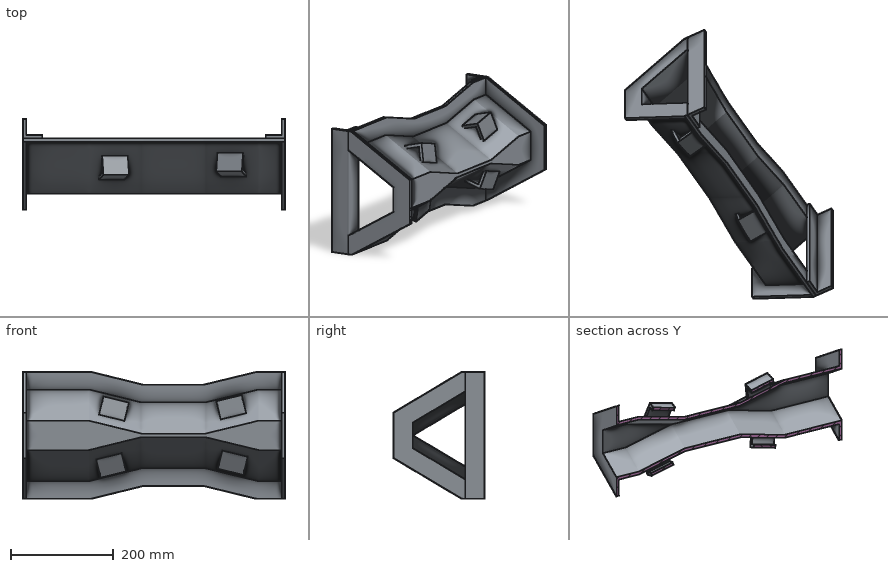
import cadquery as cq
import math

LENGTH = 510.5
DEPTH = 177.5
HEIGHT = 247.5
SHEET = 6.5

TROUGH_DEPTH = 108.5
NOSE_HALF = 28.5
FOLD_HALF = 89.5
WAIST_SHIFT = 25.0
FOLD_XS = (-126.5, -25.0, 100.5, 203.5)

END_NOSE_HALF = 44.5
END_SHOULDER = SHEET

ANGLE_LEG = 38.0
MOUNT_HEEL_RADIUS = 2.0
LUG_LENGTH = 51.0
LUG_TOE_RADIUS = 4.0

LUG_SEATS = (
    (-79.0, 51.0, 1),
    (151.5, 45.0, 1),
    (-84.5, 42.5, -1),
    (154.5, 48.5, -1),
)

END_X = LENGTH / 2
HALF_HEIGHT = HEIGHT / 2
END_DEPTH = DEPTH - ANGLE_LEG
WALL_SLOPE = (FOLD_HALF - NOSE_HALF) / (TROUGH_DEPTH - SHEET)
WALL_STEP = SHEET * math.hypot(1, WALL_SLOPE)
OUTER_BACK_HALF = FOLD_HALF + SHEET * WALL_SLOPE
INNER_BACK_HALF = OUTER_BACK_HALF - WALL_STEP
INNER_DEPTH = TROUGH_DEPTH - SHEET
INNER_NOSE_HALF = INNER_BACK_HALF - INNER_DEPTH * WALL_SLOPE
FLANGE_WIDTH = HALF_HEIGHT - FOLD_HALF
TAPERS = (
    math.atan2(WAIST_SHIFT, FOLD_XS[1] - FOLD_XS[0]),
    math.atan2(WAIST_SHIFT, FOLD_XS[3] - FOLD_XS[2]),
)


def half_outline(half_height, bend_width=0.0):
    """XZ points of the upper half, waisted; bend_width keeps an offset edge parallel to the fold."""
    left = bend_width * math.tan(TAPERS[0] / 2)
    right = bend_width * math.tan(TAPERS[1] / 2)
    waist = half_height - WAIST_SHIFT
    return [
        (-END_X, 0),
        (-END_X, half_height),
        (FOLD_XS[0] + left, half_height),
        (FOLD_XS[1] + left, waist),
        (FOLD_XS[2] - right, waist),
        (FOLD_XS[3] - right, half_height),
        (END_X, half_height),
        (END_X, 0),
    ]


def sloped_half(back_half, depth):
    """Upper half of a filled trough: the outline swept forward and down along the wall."""
    wire = cq.Wire.makePolygon([cq.Vector(x, 0, z) for x, z in half_outline(back_half)], close=True)
    swept = cq.Solid.extrudeLinear(wire, [], cq.Vector(0, -depth, -depth * WALL_SLOPE))
    above = cq.Workplane("XY").box(2 * LENGTH, 2 * LENGTH, LENGTH, centered=(True, True, False))
    return above.intersect(cq.Workplane(obj=swept))


def trough():
    flange_points = half_outline(HALF_HEIGHT, FLANGE_WIDTH)
    flange = cq.Workplane("XZ").polyline(flange_points).close().extrude(SHEET)
    upper = flange.union(sloped_half(OUTER_BACK_HALF, TROUGH_DEPTH))
    upper = upper.cut(sloped_half(INNER_BACK_HALF, INNER_DEPTH))
    return upper.union(upper.mirror("XY"))


def end_plate(x_start):
    """Plate framing the trough mouth; its window matches the inside of the trough."""
    outline = [
        (0, -HALF_HEIGHT),
        (-END_SHOULDER, -HALF_HEIGHT),
        (-END_DEPTH, -END_NOSE_HALF),
        (-END_DEPTH, END_NOSE_HALF),
        (-END_SHOULDER, HALF_HEIGHT),
        (0, HALF_HEIGHT),
    ]
    window = [
        (0, -INNER_BACK_HALF),
        (-INNER_DEPTH, -INNER_NOSE_HALF),
        (-INNER_DEPTH, INNER_NOSE_HALF),
        (0, INNER_BACK_HALF),
    ]
    plane = cq.Workplane("YZ", origin=(x_start, 0, 0))
    plate = plane.polyline(outline).close().extrude(SHEET)
    return plate.cut(plane.polyline(window).close().extrude(SHEET))


def make_housing():
    return trough().union(end_plate(-END_X)).union(end_plate(END_X - SHEET))


def angle_points():
    """Equal-leg angle section with its outer corner at the origin."""
    return [
        (0, 0),
        (ANGLE_LEG, 0),
        (ANGLE_LEG, SHEET),
        (SHEET, SHEET),
        (SHEET, ANGLE_LEG),
        (0, ANGLE_LEG),
    ]


def make_mount(side):
    """Full-height angle behind an end plate, one leg against the flange."""
    points = [(side * (x - END_X), y) for x, y in angle_points()]
    mount = (
        cq.Workplane("XY", origin=(0, 0, -HALF_HEIGHT))
        .polyline(points).close().extrude(HEIGHT)
    )
    heel = cq.selectors.NearestToPointSelector((-side * END_X, 0, 0))
    return mount.edges("|Z").edges(heel).fillet(MOUNT_HEEL_RADIUS)


def make_lug(x, depth, wall):
    """Short angle straddling a tapering wall, both toes on the surface."""
    on_left = x < FOLD_XS[1]
    taper = TAPERS[0] if on_left else -TAPERS[1]
    run = x - FOLD_XS[0] if on_left else FOLD_XS[3] - x
    z = FOLD_HALF - run * math.tan(abs(taper)) - depth * WALL_SLOPE
    along = cq.Vector(math.cos(taper), 0, -math.sin(taper))
    down_wall = cq.Vector(0, -1, -WALL_SLOPE)
    normal = down_wall.cross(along).normalized()
    seat = cq.Vector(x, -SHEET - depth, z)
    corner = seat + normal * (ANGLE_LEG / math.sqrt(2))
    down = normal.cross(along)
    plane = cq.Plane(origin=corner, xDir=down - normal, normal=along * -1)
    lug = (
        cq.Workplane(plane)
        .polyline(angle_points()).close().extrude(LUG_LENGTH / 2, both=True)
    )
    for toe in ((ANGLE_LEG, SHEET, 0), (SHEET, ANGLE_LEG, 0)):
        inner_edge = cq.selectors.NearestToPointSelector(plane.toWorldCoords(toe).toTuple())
        lug = lug.edges(inner_edge).fillet(LUG_TOE_RADIUS)
    return lug if wall > 0 else lug.mirror("XY")


housing = make_housing()
mounts = [make_mount(side) for side in (1, -1)]
lugs = [make_lug(*seat) for seat in LUG_SEATS]

result = cq.Compound.makeCompound(
    [housing.val()] + [mount.val() for mount in mounts] + [lug.val() for lug in lugs]
)